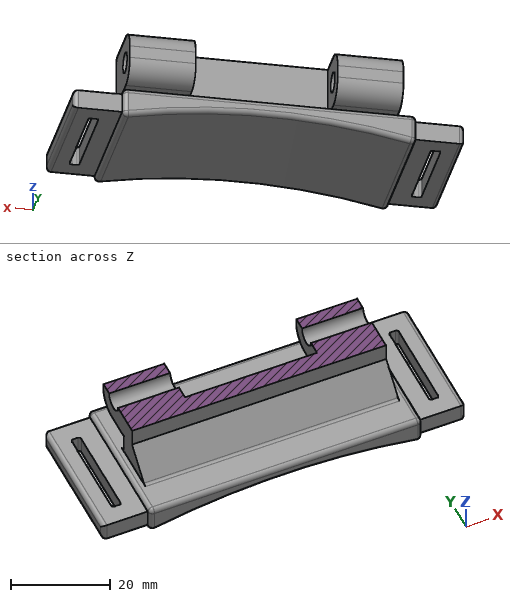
import cadquery as cq
import math


base_length = 60.0
base_width = 30.0
base_mid_thickness = 3.0
underside_radius = 140.0
edge_radius = 1.0

overall_length = 80.0
tab_width = 28.0
tab_thickness = 4.0
tab_top_z = -1.0
slot_length = 20.0
slot_width = 2.0
slot_center_x = 35.0
slot_corner_radius = 0.5

arm_length = 56.0
arm_height = 15.5
arm_front_y = -2.0
web_back_y = 2.0
buttress_height = 6.0
lug_back_y = 12.0
lug_corner_radius = 4.2
lug_gap = 29.0
pin_diameter = 4.2
pin_y = 7.0
pin_z = 10.0
lug_bottom_z = 2 * pin_z - arm_height


def make_base():
    """Plate arched along X, with every edge rounded."""
    half_length = base_length / 2
    arch_rise = underside_radius - math.sqrt(underside_radius**2 - half_length**2)
    end_z = -base_mid_thickness - arch_rise
    return (
        cq.Workplane("XZ")
        .moveTo(-half_length, 0)
        .lineTo(half_length, 0)
        .lineTo(half_length, end_z)
        .threePointArc((0, -base_mid_thickness), (-half_length, end_z))
        .close()
        .extrude(base_width / 2, both=True)
        .edges()
        .fillet(edge_radius)
    )


def make_tab(side):
    """Slotted strap tab; side is +1 for the +X end and -1 for the -X end."""
    inner_x = base_length / 2 - edge_radius
    tab_length = overall_length / 2 - inner_x
    end_face = ">X" if side > 0 else "<X"
    tab = (
        cq.Workplane("XY")
        .box(tab_length, tab_width, tab_thickness)
        .translate((side * (inner_x + tab_length / 2), 0, tab_top_z - tab_thickness / 2))
        .faces(end_face)
        .edges()
        .fillet(edge_radius)
    )
    slot = (
        cq.Workplane("XY")
        .box(slot_width, slot_length, tab_thickness)
        .edges("|Z")
        .fillet(slot_corner_radius)
        .translate((side * slot_center_x, 0, tab_top_z - tab_thickness / 2))
    )
    return tab.cut(slot)


def make_arm():
    """Web with a 45 degree buttress in front and two pin lugs behind."""
    arm = (
        cq.Workplane("YZ")
        .moveTo(arm_front_y - buttress_height, 0)
        .lineTo(arm_front_y, buttress_height)
        .lineTo(arm_front_y, arm_height)
        .lineTo(lug_back_y, arm_height)
        .lineTo(lug_back_y, lug_bottom_z)
        .lineTo(web_back_y, lug_bottom_z)
        .lineTo(web_back_y, 0)
        .close()
        .extrude(arm_length / 2, both=True)
    )
    arm = arm.faces(">Y").edges("|X").fillet(lug_corner_radius)
    arm = arm.faces(">Z").edges("<Y").fillet(edge_radius)

    lug_depth = lug_back_y - web_back_y
    gap = cq.Workplane("XY").box(lug_gap, lug_depth, arm_height, centered=(True, False, False))
    arm = arm.cut(gap.translate((0, web_back_y, 0)))

    pin_hole = (
        cq.Workplane("YZ")
        .center(pin_y, pin_z)
        .circle(pin_diameter / 2)
        .extrude(arm_length / 2, both=True)
    )
    return arm.cut(pin_hole)


def round_arm_foot(body):
    """Blend the front and back foot of the arm into the base plate."""
    foot_ys = (arm_front_y - buttress_height, web_back_y)
    for foot_y in foot_ys:
        foot_edge = cq.selectors.NearestToPointSelector((0, foot_y, 0))
        body = body.edges(foot_edge).fillet(edge_radius)
    return body


result = round_arm_foot(make_base().union(make_arm()))
for end in (-1, 1):
    result = result.union(make_tab(end))